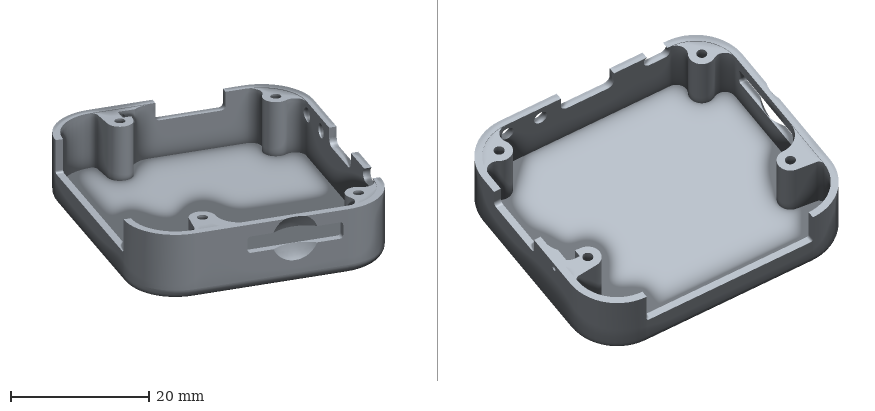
import cadquery as cq
import math

length = 44.4
width = 39.7
height = 10.5
corner_radius = 8.0
bottom_fillet = 1.6
wall = 1.15
floor = 1.78
wall_cut = 3 * wall
inner_x = length / 2 - wall
inner_y = width / 2 - wall

boss_x = 17.3
rear_boss_y = 15.2
front_boss_y = -8.85
boss_radius = 2.0
boss_top = height - 0.1
screw_hole = 1.6
rear_blend = 1.7
front_blend = 3.77
web_blend = 0.8
web_end_y = -11.25

front_opening_width = length - 2 * corner_radius
front_sill = 5.25
front_opening_radius = 0.4
left_notch_width = 10.85
left_notch_y = 3.4
left_notch_sill = 7.65
left_notch_radius = 0.7

rear_notch_width = 9.05
rear_notch_sill = 7.8
rear_notch_radius = 1.1
port_x = 11.9
port_width = 4.53
port_radius = 1.0
port_bottom = 8.6
round_port = 2.2
round_port_z = 8.48
round_port_x = (-13.7, -8.0)
rear_cut_depth = 3.55

slot_y = 3.7
slot_length = 14.75
slot_bottom = 6.0
slot_top = 8.6
slot_radius = 0.55
slot_z = (slot_bottom + slot_top) / 2
scoop_radius = 5.85
scoop_z = 7.32
scoop_offset = 4.6

light_hole = 0.8
light_y = -7.4
light_z = 9.55
pocket_x = (-20.25, -18.2)
pocket_front_y = -8.08
pocket_rear_y = -4.45
pocket_depth = 2.0


def rounded_block(size_x, size_y, bottom, top, radius):
    block = cq.Workplane("XY").workplane(offset=bottom).rect(size_x, size_y).extrude(top - bottom)
    return block.edges("|Z").fillet(radius)


def notch(size_x, size_y, bottom, radius, round_edges):
    """Cutter open at the top, with its two bottom corners rounded."""
    cutter = cq.Workplane("XY").box(size_x, size_y, height, centered=(True, True, False))
    return cutter.edges(round_edges).edges("<Z").fillet(radius).translate((0, 0, bottom))


def blend_to_side(boss_y, radius, direction):
    """Arc tangent to the right inner wall and to the boss circle, above (+1) or below (-1) it.

    Returns its end on the wall, its middle and its end on the boss.
    """
    center_x = inner_x - radius
    reach = boss_radius + radius
    center_y = boss_y + direction * math.sqrt(reach**2 - (center_x - boss_x) ** 2)
    return blend_points((center_x, center_y), (inner_x, center_y), boss_y, radius)


def blend_to_rear(boss_y, radius):
    """Arc tangent to the rear inner wall and to the boss circle, on its inward side."""
    center_y = inner_y - radius
    reach = boss_radius + radius
    center_x = boss_x - math.sqrt(reach**2 - (center_y - boss_y) ** 2)
    return blend_points((center_x, center_y), (center_x, inner_y), boss_y, radius)


def blend_points(center, wall_point, boss_y, radius):
    """Ends and middle of the blend arc around center, from a wall point to the boss circle."""
    share = radius / (boss_radius + radius)
    boss_point = (
        center[0] + share * (boss_x - center[0]),
        center[1] + share * (boss_y - center[1]),
    )
    middle_x = (wall_point[0] + boss_point[0]) / 2 - center[0]
    middle_y = (wall_point[1] + boss_point[1]) / 2 - center[1]
    stretch = radius / math.hypot(middle_x, middle_y)
    middle = (center[0] + stretch * middle_x, center[1] + stretch * middle_y)
    return wall_point, middle, boss_point


def boss_solid(outline):
    return outline.close().extrude(boss_top - floor / 2)


def boss_plane():
    """Plane halfway down the floor, so that the bosses overlap it."""
    return cq.Workplane("XY").workplane(offset=floor / 2)


def rear_boss():
    """Right rear boss, filling the corner of the shell."""
    side_wall, side_middle, side_boss = blend_to_side(rear_boss_y, rear_blend, -1)
    rear_wall, rear_middle, rear_boss_point = blend_to_rear(rear_boss_y, rear_blend)
    diagonal = boss_radius / math.sqrt(2)
    inward = (boss_x - diagonal, rear_boss_y - diagonal)
    outline = (
        boss_plane()
        .moveTo(*side_wall)
        .threePointArc(side_middle, side_boss)
        .threePointArc(inward, rear_boss_point)
        .threePointArc(rear_middle, rear_wall)
        .lineTo(rear_wall[0], width / 2)
        .lineTo(length / 2, width / 2)
        .lineTo(length / 2, side_wall[1])
    )
    return boss_solid(outline)


def front_boss():
    """Right front boss, joined to the side wall by a blend behind it and a flat web in front."""
    side_wall, side_middle, side_boss = blend_to_side(front_boss_y, front_blend, 1)
    web_x = inner_x - boss_x
    web_y = web_end_y - front_boss_y
    tangent_angle = math.atan2(web_y, web_x) - math.acos(boss_radius / math.hypot(web_x, web_y))
    tangent_point = (
        boss_x + boss_radius * math.cos(tangent_angle),
        front_boss_y + boss_radius * math.sin(tangent_angle),
    )
    foot_y = web_end_y - 2 * web_blend
    mid_wall_x = length / 2 - wall / 2
    outline = (
        boss_plane()
        .moveTo(*side_wall)
        .threePointArc(side_middle, side_boss)
        .threePointArc((boss_x - boss_radius, front_boss_y), tangent_point)
        .lineTo(inner_x, web_end_y)
        .lineTo(inner_x, foot_y)
        .lineTo(mid_wall_x, foot_y)
        .lineTo(mid_wall_x, side_wall[1])
    )
    corner = cq.selectors.NearestToPointSelector((inner_x, web_end_y, height / 2))
    return boss_solid(outline).edges("|Z").edges(corner).fillet(web_blend)


outer = rounded_block(length, width, 0, height, corner_radius).faces("<Z").edges().fillet(bottom_fillet)
cavity = rounded_block(2 * inner_x, 2 * inner_y, floor, height, corner_radius - wall)
right_bosses = rear_boss().union(front_boss())
bosses = right_bosses.union(right_bosses.mirror("YZ")).intersect(outer)
body = outer.cut(cavity).union(bosses)

screw_points = [(side * boss_x, y) for side in (-1, 1) for y in (rear_boss_y, front_boss_y)]
body = body.cut(cq.Workplane("XY").pushPoints(screw_points).circle(screw_hole / 2).extrude(height))

front_opening = notch(front_opening_width, wall_cut, front_sill, front_opening_radius, "|Y")
body = body.cut(front_opening.translate((0, -width / 2, 0)))
left_notch = notch(wall_cut, left_notch_width, left_notch_sill, left_notch_radius, "|X")
body = body.cut(left_notch.translate((-length / 2, left_notch_y, 0)))

rear_notch = notch(rear_notch_width, wall_cut, rear_notch_sill, rear_notch_radius, "|Y")
body = body.cut(rear_notch.translate((0, width / 2, 0)))
rear_plane = cq.Workplane("XZ", origin=(0, width / 2, 0))
port = rear_plane.center(port_x, port_bottom + port_radius).slot2D(port_width, 2 * port_radius)
body = body.cut(port.extrude(rear_cut_depth))
round_points = [(x, round_port_z) for x in round_port_x]
body = body.cut(rear_plane.pushPoints(round_points).circle(round_port / 2).extrude(rear_cut_depth))

card_slot = cq.Workplane("XY").box(wall_cut, slot_length, slot_top - slot_bottom)
card_slot = card_slot.edges("|X").fillet(slot_radius)
body = body.cut(card_slot.translate((length / 2, slot_y, slot_z)))
scoop = cq.Workplane("XY").sphere(scoop_radius)
body = body.cut(scoop.translate((length / 2 + scoop_offset, slot_y, scoop_z)))

light_plane = cq.Workplane("YZ", origin=(-length / 2, 0, 0))
body = body.cut(light_plane.center(light_y, light_z).circle(light_hole / 2).extrude(wall_cut))
pocket = cq.Workplane("XY").box(
    pocket_x[1] - pocket_x[0], pocket_rear_y - pocket_front_y, pocket_depth, centered=False
)
body = body.cut(pocket.translate((pocket_x[0], pocket_front_y, boss_top - pocket_depth)))

result = body